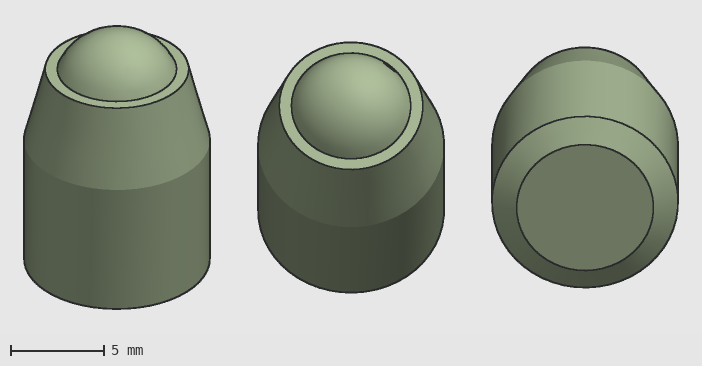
import cadquery as cq
import math

total_height = 15.0
body_radius = 10.0 / 2
ball_radius = 3.5
shoulder_height = 12.9
shoulder_radius = 3.85
taper_start_height = 8.4
foot_radius = 3.68
foot_chamfer_angle = 30.0

foot_chamfer_height = (body_radius - foot_radius) * math.tan(math.radians(foot_chamfer_angle))
ball_center_height = total_height - ball_radius

body_profile = (
    cq.Workplane("XZ")
    .lineTo(foot_radius, 0)
    .lineTo(body_radius, foot_chamfer_height)
    .lineTo(body_radius, taper_start_height)
    .lineTo(shoulder_radius, shoulder_height)
    .lineTo(0, shoulder_height)
    .close()
)
body = body_profile.revolve(360, (0, 0, 0), (0, 1, 0))

ball = cq.Workplane("XY").sphere(ball_radius).translate((0, 0, ball_center_height))

result = body.union(ball)